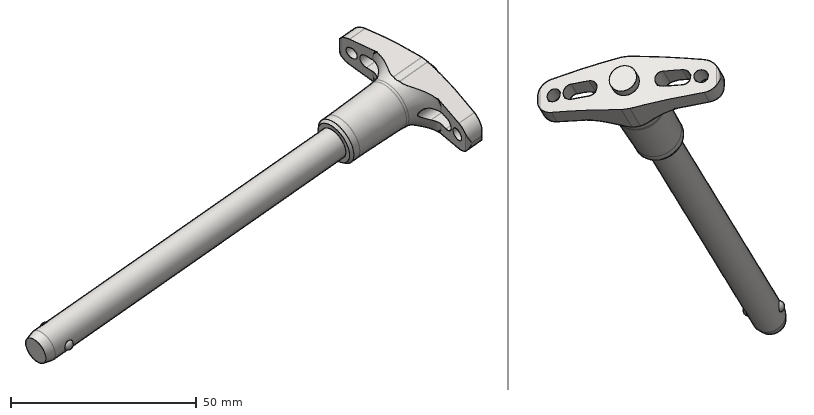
import cadquery as cq
import math

length = 147.7

span = 51.4
thickness = 16.0
crown_y = -2.7
crown_radius = 121.1
flat_half_width = 1.2
shoulder_x = 21.4
shoulder_z = 5.0
end_corner_radius = 5.0
end_edge_radius = 1.2
underside_end_y = -11.0
underside_slope = 0.13

hole_x = 20.7
hole_diameter = 3.8
slot_inner_x = 8.1
slot_outer_x = 17.9
slot_width = 4.6

flare_radius = 6.5
flare_end_y = -15.8
collar_top_y = -16.5
collar_top_radius = 7.4
collar_taper_end_y = -33.5
collar_low_radius = 7.0
collar_bottom_y = -35.7
collar_lip_radius = 6.2
collar_lip_y = -36.6
flare_foot_radius = 7.5

shaft_radius = 4.7
tip_radius = 4.0
tip_length = 2.8
button_radius = 3.8
ball_radius = 1.6
ball_reach = 5.8
ball_from_tip = 7.8

half_span = span / 2
half_thickness = thickness / 2


def revolve_about_y(profile):
    """Turn a closed outline of radius and Y around the pin axis."""
    return profile.close().revolve(360, (0, 0, 0), (0, 1, 0))


def crown_height(x):
    return crown_y - crown_radius + math.sqrt(crown_radius**2 - x**2)


def underside_height(x):
    return underside_end_y + underside_slope * (half_span - x)


def make_handle_bow():
    """Bowed bar: arched top, underside rising towards the middle, rounded ends."""
    end_top_y = crown_height(half_span)
    bow = (
        cq.Workplane("XY")
        .moveTo(-half_span, end_top_y)
        .threePointArc((0, crown_y), (half_span, end_top_y))
        .lineTo(half_span, underside_end_y)
        .lineTo(0, underside_height(0))
        .lineTo(-half_span, underside_end_y)
        .close()
        .extrude(half_thickness, both=True)
    )
    return bow.edges("|Z and (>X or <X)").fillet(end_edge_radius)


def make_flare():
    """Trumpet-shaped neck from the collar up to the handle underside."""
    arc_center_r = flare_foot_radius + flare_radius
    arc_top_y = flare_end_y + flare_radius
    arc_middle = (
        arc_center_r - flare_radius * math.sqrt(0.5),
        flare_end_y + flare_radius * math.sqrt(0.5),
    )
    flare = (
        cq.Workplane("XY")
        .moveTo(0, collar_top_y)
        .lineTo(collar_top_radius, collar_top_y)
        .lineTo(flare_foot_radius, flare_end_y)
        .threePointArc(arc_middle, (arc_center_r, arc_top_y))
        .lineTo(0, core_top_y)
    )
    return revolve_about_y(flare)


def make_side_envelope():
    """Prism along Y whose outline narrows from the middle to rounded ends."""
    outline = [
        (-flat_half_width, half_thickness),
        (flat_half_width, half_thickness),
        (half_span, end_z),
        (half_span, -end_z),
        (flat_half_width, -half_thickness),
        (-flat_half_width, -half_thickness),
        (-half_span, -end_z),
        (-half_span, end_z),
    ]
    prism = cq.Workplane("XZ").polyline(outline).close().extrude(-collar_top_y)
    return prism.edges("|Y and (>X or <X)").fillet(end_corner_radius)


def cut_openings(body):
    """Round hole and slot on each side of the handle."""
    slot_length = slot_outer_x - slot_inner_x
    slot_x = (slot_inner_x + slot_outer_x) / 2
    holes = (
        cq.Workplane("XZ")
        .pushPoints([(-hole_x, 0), (hole_x, 0)])
        .circle(hole_diameter / 2)
        .extrude(-collar_top_y)
    )
    slots = (
        cq.Workplane("XZ")
        .pushPoints([(-slot_x, 0), (slot_x, 0)])
        .slot2D(slot_length, slot_width)
        .extrude(-collar_top_y)
    )
    return body.cut(holes).cut(slots)


def make_pin():
    """Button, collar and shaft with its tapered tip."""
    pin = (
        cq.Workplane("XY")
        .lineTo(button_radius, 0)
        .lineTo(button_radius, core_top_y)
        .lineTo(shaft_radius, core_top_y)
        .lineTo(shaft_radius, collar_top_y)
        .lineTo(collar_top_radius, collar_top_y)
        .lineTo(collar_low_radius, collar_taper_end_y)
        .lineTo(collar_low_radius, collar_bottom_y)
        .lineTo(collar_lip_radius, collar_lip_y)
        .lineTo(shaft_radius, collar_lip_y)
        .lineTo(shaft_radius, tip_length - length)
        .lineTo(tip_radius, -length)
        .lineTo(0, -length)
    )
    return revolve_about_y(pin)


def make_balls():
    """Pair of locking balls standing out of the shaft near the tip."""
    ball_x = ball_reach - ball_radius
    centers = [(-ball_x, ball_from_tip - length), (ball_x, ball_from_tip - length)]
    return cq.Workplane("XY").pushPoints(centers).sphere(ball_radius)


core_top_y = (crown_y + underside_height(0)) / 2

side_taper = (half_thickness - shoulder_z) / (shoulder_x - flat_half_width)
end_z = half_thickness - side_taper * (half_span - flat_half_width)

handle = make_handle_bow().union(make_flare()).intersect(make_side_envelope()).clean()
result = cut_openings(handle).union(make_pin()).union(make_balls())